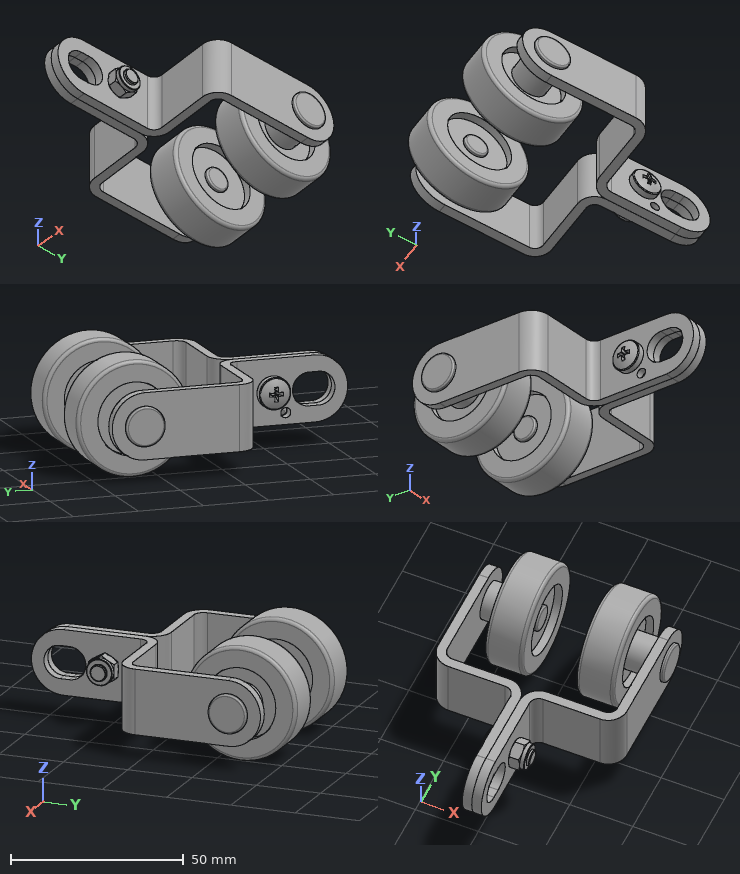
import cadquery as cq
import math


overall_length = 89.4
overall_width = 62.4

wheel_diameter = 34.8
wheel_radius = wheel_diameter / 2
wheel_width = 12.0
wheel_inner_x = 8.5
tyre_fillet = 1.1
bearing_radius = 11.0
bearing_recess = 2.5
wheel_outer_x = wheel_inner_x + wheel_width
bearing_inner_x = wheel_inner_x + bearing_recess
bearing_outer_x = wheel_outer_x - bearing_recess

axle_end_x = overall_width / 2
axle_radius = 6.0
journal_radius = 4.0
journal_overhang = 1.2
axle_fillet = 0.5

strip_thickness = 3.0
strip_width = 20.0
bracket_half_span = 30.0
bend_outer_radius = 6.0
bend_inner_radius = bend_outer_radius - strip_thickness
shelf_front_y = -35.0
tail_end_y = wheel_radius - overall_length
strip_end_radius = strip_width / 2

slot_radius = 5.0
slot_near_y = -60.1
slot_far_y = -63.0

pip_radius = 1.3
pip_height = 1.3
pip_fillet = 1.1
pip_hole_radius = 1.5
pip_y = -52.9
pip_z = -6.4

screw_y = -48.9
screw_radius = 2.5
screw_tip_x = 9.0
screw_tip_chamfer = 0.3
head_radius = 4.8
head_rim_height = 2.1
head_chamfer = 0.3
head_height = 3.6

recess_mouth_half_span = 2.3
recess_floor_half_span = 0.9
recess_blade_width = 1.1
recess_depth = 3.2
recess_tip_depth = 0.5

nut_flats = 8.0
nut_height = 5.0
nut_hex_height = 3.6
nut_corner_radius = nut_flats / math.sqrt(3)
nut_hex_chamfer_angle = 30.0
collar_radius = nut_flats / 2
collar_chamfer = 0.2


def cylinder_x(radius, start_x, end_x, y=0.0, z=0.0):
    """Solid cylinder along X from start_x to end_x, centred on (y, z)."""
    return cq.Workplane("YZ", origin=(start_x, y, z)).circle(radius).extrude(end_x - start_x)


def mirrored(body):
    """Copy of a body on the -X side."""
    return body.mirror("YZ")


def turn_about_screw(profile):
    """Revolve a closed (X, radius) profile about the screw axis."""
    return profile.close().revolve(360, (0, 0, 0), (1, 0, 0))


def make_tyre():
    """Rounded ring on the +X side."""
    tyre = cylinder_x(wheel_radius, wheel_inner_x, wheel_outer_x).edges("%CIRCLE").fillet(tyre_fillet)
    return tyre.cut(cylinder_x(bearing_radius, wheel_inner_x, wheel_outer_x))


def make_bearing():
    """Plain bearing disc with a bore for the axle journal, on the +X side."""
    bearing = cylinder_x(bearing_radius, bearing_inner_x, bearing_outer_x)
    return bearing.cut(cylinder_x(journal_radius, bearing_inner_x, bearing_outer_x))


def make_axle():
    """Stepped axle on the +X side, rounded at both ends."""
    shank = cylinder_x(axle_radius, bearing_outer_x, axle_end_x)
    shank = shank.faces(">X").edges().fillet(axle_fillet)
    journal = cylinder_x(journal_radius, bearing_inner_x - journal_overhang, bearing_outer_x)
    journal = journal.faces("<X").edges().fillet(axle_fillet)
    return shank.union(journal)


def make_bent_strip():
    """Strip of the +X bracket: tail, inner bend, shelf, outer bend and arm."""
    shelf_back_y = shelf_front_y + strip_thickness
    tail_bend_y = shelf_back_y - bend_outer_radius
    arm_bend_y = shelf_front_y + bend_outer_radius
    arm_inner_x = bracket_half_span - strip_thickness
    arm_bend_x = bracket_half_span - bend_outer_radius
    arm_end_y = strip_end_radius
    diagonal = math.sqrt(0.5)
    tail_mid_outer = bend_outer_radius * (1 - diagonal)
    tail_mid_inner = bend_outer_radius - bend_inner_radius * diagonal
    return (
        cq.Workplane("XY", origin=(0, 0, -strip_width / 2))
        .moveTo(0, tail_end_y)
        .lineTo(0, tail_bend_y)
        .threePointArc(
            (tail_mid_outer, tail_bend_y + bend_outer_radius * diagonal),
            (bend_outer_radius, shelf_back_y),
        )
        .lineTo(arm_bend_x, shelf_back_y)
        .threePointArc(
            (arm_bend_x + bend_inner_radius * diagonal, arm_bend_y - bend_inner_radius * diagonal),
            (arm_inner_x, arm_bend_y),
        )
        .lineTo(arm_inner_x, arm_end_y)
        .lineTo(bracket_half_span, arm_end_y)
        .lineTo(bracket_half_span, arm_bend_y)
        .threePointArc(
            (arm_bend_x + bend_outer_radius * diagonal, arm_bend_y - bend_outer_radius * diagonal),
            (arm_bend_x, shelf_front_y),
        )
        .lineTo(bend_outer_radius, shelf_front_y)
        .threePointArc(
            (tail_mid_inner, tail_bend_y + bend_inner_radius * diagonal),
            (strip_thickness, tail_bend_y),
        )
        .lineTo(strip_thickness, tail_end_y)
        .close()
        .extrude(strip_width)
    )


def make_bracket():
    """Bracket on the +X side with round ends, axle hole, screw hole and tail slot."""
    side_outline = (
        cq.Workplane("YZ")
        .moveTo((tail_end_y + strip_end_radius) / 2, 0)
        .slot2D(strip_end_radius - tail_end_y, strip_width)
        .extrude(bracket_half_span)
    )
    tail_slot = (
        cq.Workplane("YZ")
        .moveTo((slot_near_y + slot_far_y) / 2, 0)
        .slot2D(slot_near_y - slot_far_y + 2 * slot_radius, 2 * slot_radius)
        .extrude(strip_thickness)
    )
    axle_hole = cylinder_x(axle_radius, 0, bracket_half_span)
    screw_hole = cylinder_x(screw_radius, 0, strip_thickness, screw_y)
    openings = axle_hole.add(screw_hole).add(tail_slot).combine()
    return make_bent_strip().intersect(side_outline).cut(openings)


def make_pip_bracket():
    """+X bracket with a round-nosed pip standing out of its mating face."""
    pip = cylinder_x(pip_radius, -pip_height, strip_thickness / 2, pip_y, pip_z)
    pip = pip.faces("<X").edges().fillet(pip_fillet)
    return make_bracket().union(pip)


def make_hole_bracket():
    """-X bracket with the hole that receives the pip."""
    pip_hole = cylinder_x(pip_hole_radius, -strip_thickness, 0, pip_y, pip_z)
    return mirrored(make_bracket()).cut(pip_hole)


def make_cross_recess(mouth_x):
    """Tapered cross with a pointed floor, opening at mouth_x toward -X."""
    floor_x = mouth_x + recess_depth
    blade = (
        cq.Workplane("XY", origin=(0, screw_y, -recess_blade_width / 2))
        .moveTo(mouth_x, -recess_mouth_half_span)
        .lineTo(mouth_x, recess_mouth_half_span)
        .lineTo(floor_x, recess_floor_half_span)
        .lineTo(floor_x, -recess_floor_half_span)
        .close()
        .extrude(recess_blade_width)
    )
    tip = turn_about_screw(
        cq.Workplane("XY", origin=(0, screw_y, 0))
        .moveTo(mouth_x, 0)
        .lineTo(mouth_x, recess_floor_half_span)
        .lineTo(floor_x, recess_floor_half_span)
        .lineTo(floor_x + recess_tip_depth, 0)
    )
    crossing_blade = blade.rotate((0, screw_y, 0), (1, screw_y, 0), 90)
    return blade.union(crossing_blade).union(tip)


def make_screw():
    """Domed-head screw through both tails, its head on the -X side."""
    seat_x = -strip_thickness
    rim_x = seat_x - head_rim_height
    top_x = seat_x - head_height
    dome_edge_x = rim_x - head_chamfer
    dome_edge_radius = head_radius - head_chamfer
    dome_height = dome_edge_x - top_x
    dome_radius = (dome_edge_radius**2 + dome_height**2) / (2 * dome_height)
    half_angle = math.asin(dome_edge_radius / dome_radius) / 2
    dome_mid = (top_x + dome_radius * (1 - math.cos(half_angle)), dome_radius * math.sin(half_angle))
    blank = turn_about_screw(
        cq.Workplane("XY", origin=(0, screw_y, 0))
        .moveTo(top_x, 0)
        .threePointArc(dome_mid, (dome_edge_x, dome_edge_radius))
        .lineTo(rim_x, head_radius)
        .lineTo(seat_x, head_radius)
        .lineTo(seat_x, screw_radius)
        .lineTo(screw_tip_x - screw_tip_chamfer, screw_radius)
        .lineTo(screw_tip_x, screw_radius - screw_tip_chamfer)
        .lineTo(screw_tip_x, 0)
    )
    return blank.cut(make_cross_recess(top_x))


def make_nut():
    """Lock nut on the +X tail, with hexagon corners pointing up and down."""
    seat_x = strip_thickness
    hex_end_x = seat_x + nut_hex_height
    nut_end_x = seat_x + nut_height
    chamfer_length = (nut_corner_radius - collar_radius) * math.tan(math.radians(nut_hex_chamfer_angle))
    hexagon = (
        cq.Workplane("YZ", origin=(seat_x, screw_y, 0))
        .transformed(rotate=(0, 0, 90))
        .polygon(6, 2 * nut_corner_radius)
        .extrude(nut_height)
    )
    turned_envelope = turn_about_screw(
        cq.Workplane("XY", origin=(0, screw_y, 0))
        .moveTo(seat_x, 0)
        .lineTo(seat_x, collar_radius)
        .lineTo(seat_x + chamfer_length, nut_corner_radius)
        .lineTo(hex_end_x - chamfer_length, nut_corner_radius)
        .lineTo(hex_end_x, collar_radius)
        .lineTo(nut_end_x - collar_chamfer, collar_radius)
        .lineTo(nut_end_x, collar_radius - collar_chamfer)
        .lineTo(nut_end_x, 0)
    )
    bore = cylinder_x(screw_radius, seat_x, nut_end_x, screw_y)
    return hexagon.intersect(turned_envelope).cut(bore)


def make_pair(right_body):
    """Solids of a +X body and of its mirror image."""
    return [right_body.solids().val(), mirrored(right_body).solids().val()]


pip_bracket = make_pip_bracket().solids().val()
hole_bracket = make_hole_bracket().solids().val()
screw = make_screw().solids().val()
nut = make_nut().solids().val()
tyres = make_pair(make_tyre())
bearings = make_pair(make_bearing())
axles = make_pair(make_axle())

result = cq.Compound.makeCompound(
    [pip_bracket, hole_bracket, screw, nut, *tyres, *bearings, *axles]
)